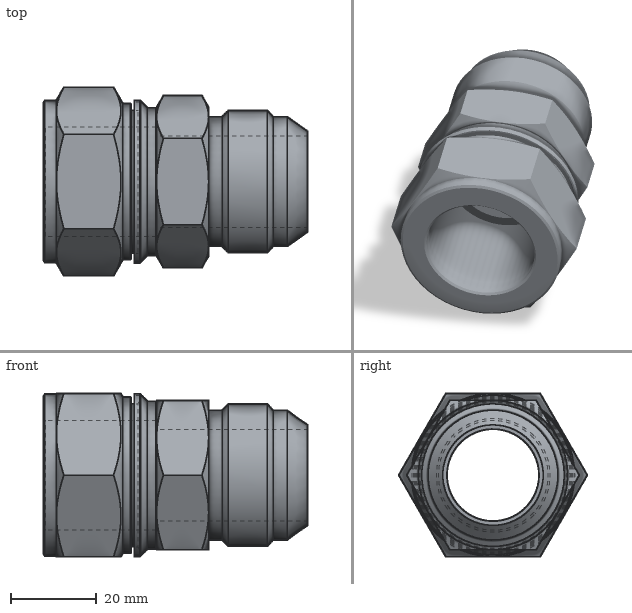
import cadquery as cq
import math

total_length = 61.65

collar_dia = 37.85
collar_face_dia = 36.75
collar_chamfer_length = 0.4

nut_start = 3.0
nut_end = 18.55
nut_flats = 38.1
nut_skirt_dia = 36.5
hex_chamfer_angle = 30.0

skirt_bevel_start = 20.3
skirt_end_dia = 36.1
groove_start = 20.5
groove_dia = 33.35
ring_start = 21.2
ring_end = 22.5
ring_lip_inner_dia = 37.25
recess_cone_start = 22.0
recess_back = 22.7
recess_cone_angle = 60.0
ring_dia = 38.05
neck_start = 24.3
neck_dia = 34.5
neck_bevel_start = 26.2
neck_end_dia = 34.15

body_hex_start = 26.45
body_hex_end = 38.55
body_hex_flats = 34.85
body_hex_face_dia = 34.85

shank_dia = 30.3
thread_dia = 33.2
thread_ramp_start = 41.7
thread_start = 43.15
thread_end = 52.2
thread_ramp_end = 53.6
nose_start = 56.85
nose_tip_dia = 23.4

bore_dia = 21.4
socket_dia = 25.6
socket_mouth_dia = 26.5
socket_depth = 26.25
socket_chamfer = (socket_mouth_dia - socket_dia) / 2


def turned(sections):
    """Revolve (x, diameter) sections about the X axis into a solid."""
    outline = [(x, diameter / 2) for x, diameter in sections]
    first_x = sections[0][0]
    last_x = sections[-1][0]
    points = [(first_x, 0)] + outline + [(last_x, 0)]
    return cq.Workplane("XY").polyline(points).close().revolve(360, (0, 0, 0), (1, 0, 0))


def chamfered_hex(start, end, flats, start_dia, end_dia):
    """Hexagon with corners on the Y axis, its ends trimmed by cones."""
    corner_dia = flats / math.cos(math.radians(30))
    slope = math.tan(math.radians(hex_chamfer_angle))
    start_cone = (corner_dia - start_dia) / 2 * slope
    end_cone = (corner_dia - end_dia) / 2 * slope
    prism = cq.Workplane("YZ", origin=(start, 0, 0)).polygon(6, corner_dia).extrude(end - start)
    envelope = turned([
        (start, start_dia),
        (start + start_cone, corner_dia),
        (end - end_cone, corner_dia),
        (end, end_dia),
    ])
    return prism.intersect(envelope)


recess_cone_rise = (recess_back - recess_cone_start) * math.tan(math.radians(recess_cone_angle))
recess_cone_end_dia = groove_dia + 2 * recess_cone_rise

turned_body = turned([
    (0, collar_face_dia),
    (collar_chamfer_length, collar_dia),
    (nut_start, collar_dia),
    (nut_start, nut_skirt_dia),
    (skirt_bevel_start, nut_skirt_dia),
    (groove_start, skirt_end_dia),
    (groove_start, groove_dia),
    (recess_cone_start, groove_dia),
    (recess_back, recess_cone_end_dia),
    (recess_back, ring_lip_inner_dia),
    (ring_start, ring_lip_inner_dia),
    (ring_start, ring_dia),
    (ring_end, ring_dia),
    (neck_start, neck_dia),
    (neck_bevel_start, neck_dia),
    (body_hex_start, neck_end_dia),
    (body_hex_start, shank_dia),
    (thread_ramp_start, shank_dia),
    (thread_start, thread_dia),
    (thread_end, thread_dia),
    (thread_ramp_end, shank_dia),
    (nose_start, shank_dia),
    (total_length, nose_tip_dia),
])

nut = chamfered_hex(nut_start, nut_end, nut_flats, collar_dia, nut_skirt_dia)
body_hex = chamfered_hex(
    body_hex_start, body_hex_end, body_hex_flats, body_hex_face_dia, body_hex_face_dia
)

bore = turned([
    (0, socket_mouth_dia),
    (socket_chamfer, socket_dia),
    (socket_depth, socket_dia),
    (socket_depth, bore_dia),
    (total_length, bore_dia),
])

result = turned_body.union(nut).union(body_hex).cut(bore)